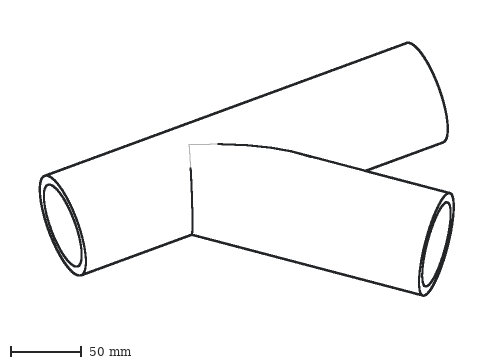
import cadquery as cq
import math

outer_diameter = 75.0
wall = 6.8
run_length = 284.0
junction_distance = 99.0
branch_length = 185.0
branch_angle = 45.0

bore_diameter = outer_diameter - 2 * wall
run_start = cq.Vector(0, -junction_distance, 0)
run_direction = cq.Vector(0, 1, 0)
junction = cq.Vector(0, 0, 0)
branch_direction = cq.Vector(
    math.sin(math.radians(branch_angle)),
    math.cos(math.radians(branch_angle)),
    0,
)


def wye(diameter):
    """Straight run and slanted branch of one diameter, joined as a solid."""
    radius = diameter / 2
    run = cq.Solid.makeCylinder(radius, run_length, run_start, run_direction)
    branch = cq.Solid.makeCylinder(radius, branch_length, junction, branch_direction)
    return cq.Workplane("XY").add(run).union(cq.Workplane("XY").add(branch))


result = wye(outer_diameter).cut(wye(bore_diameter))